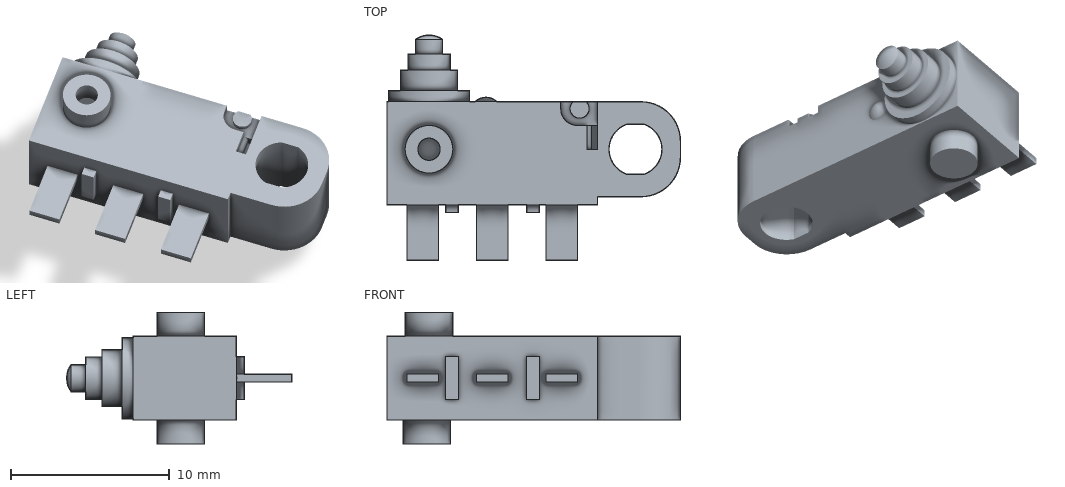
import cadquery as cq
import math

block_length = 13.27
block_depth = 6.5
thickness = 5.3
top_z = thickness / 2

total_length = 18.5
lug_step = 0.5
lug_corner_radius = 2.5
mid_y = 3.5
lug_hole_x = 15.66
lug_hole_radius = 1.66
lug_hole_height = 3.13

boss_radius = 1.5
boss_height = 1.5
boss_hole_radius = 0.7
plunger_x = 2.65
bottom_boss_shift = -0.13

terminal_width = 2.0
terminal_length = 3.5
terminal_thickness = 0.5
terminal_pitch = 4.38
first_terminal_x = 2.25
terminal_count = 3
rib_width = 0.8
rib_length = 0.5
rib_height = 2.7
rib_centres_x = (4.1, 9.2)

recess_length = 2.32
recess_width = 1.5
recess_depth = 0.55
recess_corner_radius = 1.05
pad_x = 12.14
pad_y = 6.06
pad_radius = 0.6
pad_height = 0.3
slot_width = 0.68
slot_depth = 1.2
ledge_radius = 0.29

seat_radius = 2.56
seat_height = 0.7
dome_x = 6.24
dome_radius = 0.69
dome_height = 0.28

plunger_steps = ((1.8, 1.28), (1.34, 1.02), (0.86, 0.92))
tip_height = 0.28


def box(x_min, x_max, y_min, y_max, z_min, z_max):
    """Axis-aligned box between the given limits."""
    size = (x_max - x_min, y_max - y_min, z_max - z_min)
    return cq.Workplane("XY").box(*size, centered=False).translate((x_min, y_min, z_min))


def upright_cylinder(x, y, z, radius, height):
    """Cylinder standing along Z on the level z."""
    return cq.Workplane("XY", origin=(x, y, z)).circle(radius).extrude(height)


def cross_cylinder(x, y, radius, height):
    """Cylinder about a Y axis at mid-thickness, based at y and rising towards +Y."""
    return cq.Workplane("XZ", origin=(x, y, 0)).circle(radius).extrude(-height)


def spherical_cap(x, y, base_radius, height):
    """Dome about a Y axis at mid-thickness, based at y and rising towards +Y."""
    sphere_radius = (base_radius**2 + height**2) / (2 * height)
    half_angle = math.asin(base_radius / sphere_radius) / 2
    arc_middle = (
        sphere_radius * math.sin(half_angle),
        height - sphere_radius * (1 - math.cos(half_angle)),
    )
    profile = (
        cq.Workplane("XY", origin=(x, y, 0))
        .lineTo(base_radius, 0)
        .threePointArc(arc_middle, (0, height))
        .close()
    )
    return profile.revolve(360, (0, 0, 0), (0, 1, 0))


def make_lug():
    """Rounded lug with a flat-sided through hole."""
    lug_start = block_length - lug_corner_radius
    lug = box(lug_start, total_length, lug_step, block_depth, -top_z, top_z)
    lug = lug.edges("|Z and >X").fillet(lug_corner_radius)
    hole = upright_cylinder(lug_hole_x, mid_y, -top_z, lug_hole_radius, thickness)
    flats = box(
        lug_hole_x - lug_hole_radius, lug_hole_x + lug_hole_radius,
        mid_y - lug_hole_height / 2, mid_y + lug_hole_height / 2,
        -top_z, top_z,
    )
    return lug.cut(hole.intersect(flats))


def make_recess():
    """Corner recess open to the +Y face, with one rounded inner corner."""
    recess = box(
        block_length - recess_length, block_length,
        block_depth - recess_width, block_depth,
        top_z - recess_depth, top_z,
    )
    return recess.edges("|Z and <X and <Y").fillet(recess_corner_radius)


def make_slot():
    """Narrow slot beside the lug, with a round-nosed ledge along its -X wall."""
    slot_end_y = block_depth - recess_width
    ledge_bend = ledge_radius * math.sqrt(0.5)
    ledge_bottom = -recess_depth - ledge_radius
    section = (
        cq.Workplane("XZ", origin=(block_length - slot_width, slot_end_y, top_z))
        .lineTo(slot_width, 0)
        .lineTo(slot_width, -slot_depth)
        .lineTo(ledge_radius, -slot_depth)
        .lineTo(ledge_radius, ledge_bottom)
        .threePointArc((ledge_bend, ledge_bottom + ledge_bend), (0, -recess_depth))
        .close()
    )
    return section.extrude(slot_end_y - mid_y)


def make_pad():
    """Round pad on the recess floor, cut flush with the +Y face."""
    floor_z = top_z - recess_depth
    pad = upright_cylinder(pad_x, pad_y, floor_z, pad_radius, pad_height)
    inside = box(0, block_length, 0, block_depth, -top_z, top_z)
    return pad.intersect(inside)


def make_housing():
    """Case with its lug, bosses, terminals, ribs, plunger seat and dome."""
    housing = box(0, block_length, 0, block_depth, -top_z, top_z).union(make_lug())
    housing = housing.cut(make_recess()).cut(make_slot()).union(make_pad())

    top_boss = upright_cylinder(plunger_x, mid_y, top_z, boss_radius, boss_height)
    boss_hole = upright_cylinder(plunger_x, mid_y, top_z, boss_hole_radius, boss_height)
    bottom_boss = upright_cylinder(
        plunger_x + bottom_boss_shift, mid_y, -top_z, boss_radius, -boss_height
    )
    housing = housing.union(top_boss.cut(boss_hole)).union(bottom_boss)

    for index in range(terminal_count):
        x = first_terminal_x + index * terminal_pitch
        terminal = box(
            x - terminal_width / 2, x + terminal_width / 2,
            -terminal_length, 0,
            -terminal_thickness / 2, terminal_thickness / 2,
        )
        housing = housing.union(terminal)

    for x in rib_centres_x:
        rib = box(
            x - rib_width / 2, x + rib_width / 2, -rib_length, 0, -rib_height / 2, rib_height / 2
        )
        housing = housing.union(rib)

    seat = cross_cylinder(plunger_x, block_depth, seat_radius, seat_height)
    dome = spherical_cap(dome_x, block_depth, dome_radius, dome_height)
    return housing.union(seat).union(dome)


def make_plunger():
    """Stepped plunger standing on the seat, ending in a domed tip."""
    plunger = cq.Workplane("XY")
    y = block_depth + seat_height
    for radius, height in plunger_steps:
        plunger = plunger.union(cross_cylinder(plunger_x, y, radius, height))
        y += height
    tip_radius = plunger_steps[-1][0]
    return plunger.union(spherical_cap(plunger_x, y, tip_radius, tip_height))


housing = make_housing()
plunger = make_plunger()

result = cq.Compound.makeCompound([housing.val(), plunger.val()])